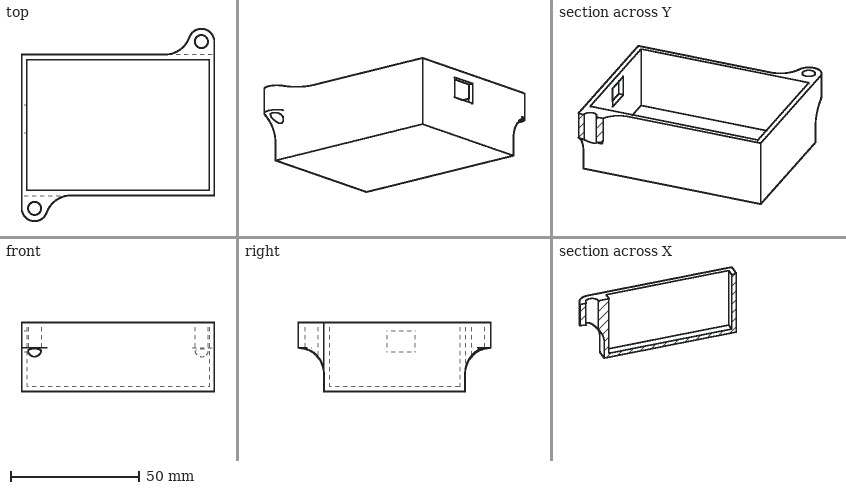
import cadquery as cq
import math

length = 75.0
overall_width = 75.0
box_width = 55.0
height = 27.0
wall = 2.0

ear_reach = (overall_width - box_width) / 2
ear_radius = ear_reach / 2
ear_height = 10.0
blend_radius = ear_reach
hole_diameter = 5.0

window_width = 10.9
window_height = 8.1
window_drop = 3.4
window_offset = 2.5

ear_x = -length / 2 + ear_radius
wall_y = -box_width / 2
ear_y = wall_y - ear_radius
tip_y = wall_y - ear_reach
ear_bottom = height - ear_height

blend_angle = math.acos((blend_radius - ear_radius) / (blend_radius + ear_radius))
blend_x = ear_x + (blend_radius + ear_radius) * math.sin(blend_angle)
support_steps = 12

join_tolerance = 0.001


def make_box():
    box = cq.Workplane("XY").box(length, box_width, height, centered=(True, True, False))
    cavity = (
        cq.Workplane("XY")
        .workplane(offset=wall)
        .rect(length - 2 * wall, box_width - 2 * wall)
        .extrude(height)
    )
    return box.cut(cavity)


def ear_rim(angle):
    """Point on the ear's round end, at an angle from its outermost point."""
    return (ear_x + ear_radius * math.sin(angle), ear_y - ear_radius * math.cos(angle))


def make_ear_plate():
    blend_middle = (
        blend_x - blend_radius * math.sin(blend_angle / 2),
        tip_y + blend_radius * math.cos(blend_angle / 2),
    )
    return (
        cq.Workplane("XY")
        .workplane(offset=ear_bottom)
        .moveTo(-length / 2, wall_y)
        .lineTo(-length / 2, ear_y)
        .threePointArc(ear_rim(0), ear_rim(blend_angle))
        .threePointArc(blend_middle, (blend_x, wall_y))
        .close()
        .extrude(ear_height)
    )


def support_section(angle):
    """Section cut where a ball touches both the box wall and the ear's lower rim."""
    rim_x, rim_y = ear_rim(angle)
    rim = cq.Vector(rim_x, rim_y, ear_bottom)
    corner = cq.Vector(rim_x, wall_y, ear_bottom)
    ball_x = ear_x + ear_radius * math.tan(angle)
    rim_gap = ear_radius / math.cos(angle) - ear_radius
    ball_drop = math.sqrt(max(0.0, blend_radius**2 - rim_gap**2))
    ball = cq.Vector(ball_x, tip_y, ear_bottom - ball_drop)
    foot = cq.Vector(ball_x, wall_y, ball.z)
    middle = ball + ((rim - ball) + (foot - ball)).normalized() * blend_radius
    return cq.Wire.assembleEdges([
        cq.Edge.makeThreePointArc(rim, middle, foot),
        cq.Edge.makeLine(foot, corner),
        cq.Edge.makeLine(corner, rim),
    ])


def make_support_half(end_angle):
    """Support swept from the middle of the ear to one end of its round rim."""
    angles = [
        end_angle * math.sin(math.pi / 2 * step / support_steps)
        for step in range(support_steps + 1)
    ]
    return cq.Workplane(cq.Solid.makeLoft([support_section(angle) for angle in angles]))


def trim_to_box_end(shape):
    trim = cq.Workplane("XY").box(length, 2 * overall_width, height, centered=(True, True, False))
    return shape.intersect(trim)


def make_ear_hole():
    return (
        cq.Workplane("XY")
        .center(ear_x, ear_y)
        .circle(hole_diameter / 2)
        .extrude(height)
    )


def make_window():
    return cq.Workplane("XY").box(2 * wall, window_width, window_height).translate(
        (-length / 2, window_offset, height - window_drop - window_height / 2)
    )


def with_opposite(shape):
    """The front-left shape and its copy on the opposite corner."""
    return (shape, shape.rotate((0, 0, 0), (0, 0, 1), 180))


result = make_box()
for plate in with_opposite(make_ear_plate()):
    result = result.union(plate)

inner_half = make_support_half(blend_angle)
outer_half = trim_to_box_end(make_support_half(-blend_angle))
for half in (inner_half, outer_half):
    for support in with_opposite(half):
        result = result.union(support, tol=join_tolerance)

for hole in with_opposite(make_ear_hole()):
    result = result.cut(hole)
result = result.cut(make_window())